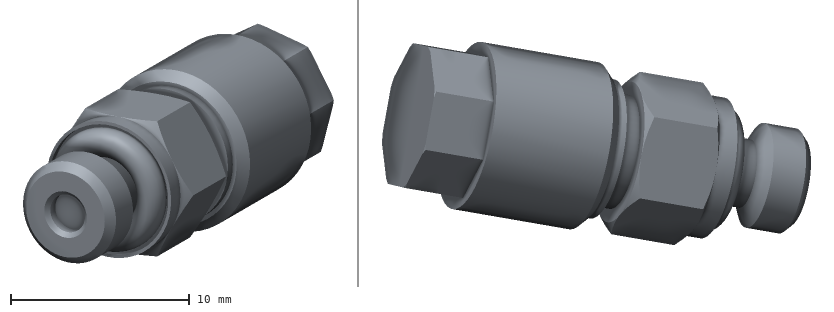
import cadquery as cq
import math

SLEEVE_RADIUS = 4.747
RING_RADIUS = 3.95
NECK_RADIUS = 3.23
COLLAR_RADIUS = 4.0
GROOVE_RADIUS = 3.8
STEM_RADIUS = 1.95
NOSE_RADIUS = 2.98

NOSE_SHOULDER_Y = 2.4
STEM_START_Y = 3.0
COLLAR_FACE_Y = 4.95
HEX_START_Y = 6.0
HEX_END_Y = 10.49
RING_START_Y = 11.53
SLEEVE_START_Y = 12.08
SLEEVE_END_Y = 19.61
LENGTH = 23.1

NOSE_CHAMFER = 0.46
SLEEVE_CHAMFER = 0.55
SEAL_SECTION_RADIUS = 0.83
GROOVE_DEPTH = 0.46

ACROSS_FLATS = 8.0
CORNER_CHAMFER_ANGLE = 30.0
OCTAGON_TURN = 7.8
OCTAGON_END_RADIUS = 4.2

BORE_RADIUS = 1.1
BORE_CHAMFER = 0.25
BORE_DEPTH = 0.8


def turned_body():
    """Nose, stem, seal ring, collar, neck and sleeve as one revolved profile."""
    seal_centre_radius = STEM_RADIUS + SEAL_SECTION_RADIUS
    seal_floor_radius = seal_centre_radius + math.sqrt(SEAL_SECTION_RADIUS**2 - GROOVE_DEPTH**2)
    groove_floor_y = COLLAR_FACE_Y + GROOVE_DEPTH
    profile = (
        cq.Workplane("XY")
        .lineTo(NOSE_RADIUS - NOSE_CHAMFER, 0)
        .lineTo(NOSE_RADIUS, NOSE_CHAMFER)
        .lineTo(NOSE_RADIUS, NOSE_SHOULDER_Y)
        .lineTo(STEM_RADIUS, STEM_START_Y)
        .lineTo(STEM_RADIUS, COLLAR_FACE_Y)
        .threePointArc(
            (seal_centre_radius, COLLAR_FACE_Y - SEAL_SECTION_RADIUS),
            (seal_floor_radius, groove_floor_y),
        )
        .lineTo(GROOVE_RADIUS, groove_floor_y)
        .lineTo(GROOVE_RADIUS, COLLAR_FACE_Y)
        .lineTo(COLLAR_RADIUS, COLLAR_FACE_Y)
        .lineTo(COLLAR_RADIUS, HEX_START_Y)
        .lineTo(NECK_RADIUS, HEX_START_Y)
        .lineTo(NECK_RADIUS, RING_START_Y)
        .lineTo(RING_RADIUS, RING_START_Y)
        .lineTo(RING_RADIUS, SLEEVE_START_Y)
        .lineTo(SLEEVE_RADIUS - SLEEVE_CHAMFER, SLEEVE_START_Y)
        .lineTo(SLEEVE_RADIUS, SLEEVE_START_Y + SLEEVE_CHAMFER)
        .lineTo(SLEEVE_RADIUS, SLEEVE_END_Y)
        .lineTo(0, SLEEVE_END_Y)
        .close()
    )
    return profile.revolve(360, (0, 0, 0), (0, 1, 0))


def prism(sides, start_y, end_y, turn=0):
    """Regular prism along Y, with its first corner turned from +X toward +Z."""
    corner_radius = ACROSS_FLATS / 2 / math.cos(math.pi / sides)
    return (
        cq.Workplane("XZ", origin=(0, start_y, 0))
        .polygon(sides, 2 * corner_radius)
        .extrude(start_y - end_y)
        .rotate((0, 0, 0), (0, 1, 0), -turn)
    )


def chamfer_envelope(end_y, far_y, end_radius):
    """Round envelope from far_y to end_y, conical at end_y to trim prism corners."""
    slope = math.tan(math.radians(CORNER_CHAMFER_ANGLE))
    cone_height = (SLEEVE_RADIUS - end_radius) * slope
    cone_base_y = end_y + math.copysign(cone_height, far_y - end_y)
    return (
        cq.Workplane("XY")
        .moveTo(0, end_y)
        .lineTo(end_radius, end_y)
        .lineTo(SLEEVE_RADIUS, cone_base_y)
        .lineTo(SLEEVE_RADIUS, far_y)
        .lineTo(0, far_y)
        .close()
        .revolve(360, (0, 0, 0), (0, 1, 0))
    )


def hexagon():
    """Wrench hexagon with its corners chamfered at both ends."""
    flat_radius = ACROSS_FLATS / 2
    return (
        prism(6, HEX_START_Y, HEX_END_Y)
        .intersect(chamfer_envelope(HEX_START_Y, HEX_END_Y, flat_radius))
        .intersect(chamfer_envelope(HEX_END_Y, HEX_START_Y, flat_radius))
    )


def octagon():
    """Tail octagon with its corners chamfered at the free end only."""
    envelope = chamfer_envelope(LENGTH, SLEEVE_END_Y, OCTAGON_END_RADIUS)
    return prism(8, SLEEVE_END_Y, LENGTH, OCTAGON_TURN).intersect(envelope)


def nose_bore():
    """Blind hole in the nose face with a chamfered mouth."""
    return (
        cq.Workplane("XY")
        .lineTo(BORE_RADIUS + BORE_CHAMFER, 0)
        .lineTo(BORE_RADIUS, BORE_CHAMFER)
        .lineTo(BORE_RADIUS, BORE_DEPTH)
        .lineTo(0, BORE_DEPTH)
        .close()
        .revolve(360, (0, 0, 0), (0, 1, 0))
    )


result = turned_body().union(hexagon()).union(octagon()).cut(nose_bore())